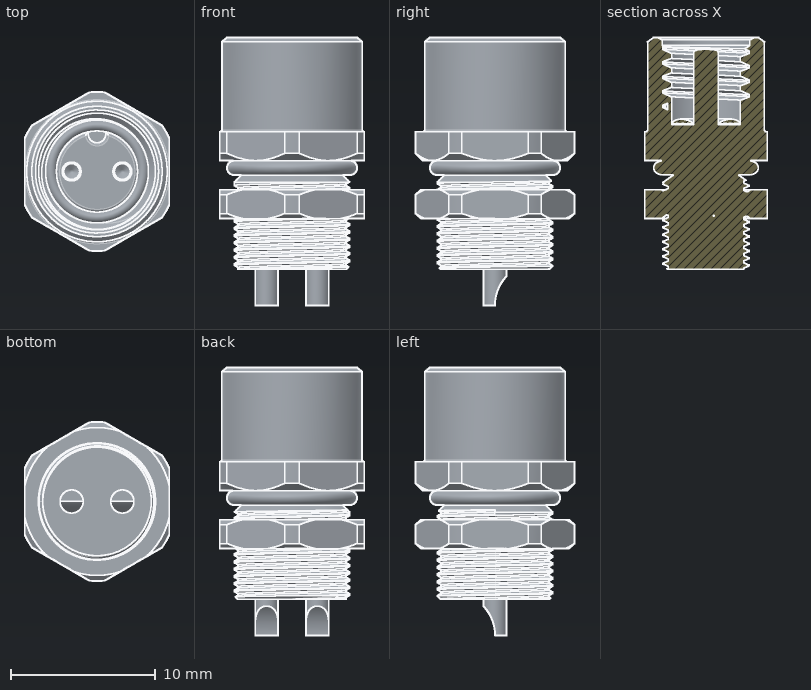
import cadquery as cq
import math


BODY_TOP = 16.0
PIN_LENGTH = 2.5

CUP_RADIUS = 4.85
RIM_CHAMFER_WIDTH = 0.35
RIM_CHAMFER_HEIGHT = 0.3
CUP_FOOT_FILLET = 0.13

HEX_ACROSS_FLATS = 10.0
HEX_CORNER_RADIUS = 5.5
HEX_THICKNESS = 2.0
FLANGE_BOTTOM = 7.5
FLANGE_TOP = FLANGE_BOTTOM + HEX_THICKNESS
FLANGE_CHAMFER_WIDTH = 0.5
FLANGE_CHAMFER_HEIGHT = 0.5
NUT_BOTTOM = 3.5
NUT_CHAMFER_WIDTH = 0.4
NUT_CHAMFER_HEIGHT = 0.35
NUT_MOUTH_RADIUS = 4.05
NUT_BORE_RADIUS = 3.7

SEAL_SECTION_RADIUS = 0.5
NECK_RADIUS = 3.5
SEAL_BOTTOM = FLANGE_BOTTOM - 2 * SEAL_SECTION_RADIUS
SEAL_CENTRE_RADIUS = NECK_RADIUS + SEAL_SECTION_RADIUS

THREAD_RADIUS = 4.0
THREAD_FLANK_ANGLE = 30.0

OUTER_PITCH = 0.5
OUTER_ROOT_RADIUS = 3.74
OUTER_GROOVE_ROOT_WIDTH = OUTER_PITCH / 4
OUTER_GROOVE_END_Z = 6.08
OUTER_GROOVE_END_ANGLE = 180.0
OUTER_TURNS = 13
OUTER_OVERSHOOT = 0.04
FOOT_CHAMFER = 0.25
SHOULDER_CHAMFER = THREAD_RADIUS - NECK_RADIUS

INNER_PITCH = 1.0
BORE_RADIUS = 3.55
INNER_GROOVE_ROOT_WIDTH = INNER_PITCH / 8
INNER_GROOVE_END_Z = 16.235
INNER_GROOVE_END_ANGLE = 225.0
INNER_TURNS = 5
INNER_OVERSHOOT = 0.075

MOUTH_RADIUS = 4.25
COUNTERBORE_RADIUS = 4.03
LEAD_IN_HEIGHT = 0.17
COUNTERBORE_DEPTH = 0.55
COUNTERSINK_DEPTH = 0.95

BORE_FLOOR = 10.0
INSERT_TOP = 15.2
INSERT_RADIUS = 2.8
INSERT_EDGE_RADIUS = 0.2
INNER_SEAL_RADIUS = (BORE_RADIUS - INSERT_RADIUS) / 2

KEY_RADIUS = 0.6
KEY_CENTRE_Y = 2.58

CONTACT_SPACING = 3.5
SOCKET_RADIUS = 0.55
SOCKET_DEPTH = 3.0
SOCKET_CHAMFER = 0.1
SOCKET_POINT_ANGLE = 118.0
PIN_RADIUS = 0.8
PIN_ROUND_LENGTH = 0.47

CONTACT_XS = (-CONTACT_SPACING / 2, CONTACT_SPACING / 2)


def revolved(outline):
    """Turn a closed XZ outline (X = radius) about the Z axis."""
    return outline.close().revolve(360, (0, 0, 0), (0, 1, 0))


def turned_body():
    """Body without hexagons or threads, solid inside, with the O-ring merged into its groove."""
    seal_middle = (FLANGE_BOTTOM + SEAL_BOTTOM) / 2
    fillet_centre = (CUP_RADIUS + CUP_FOOT_FILLET, FLANGE_TOP + CUP_FOOT_FILLET)
    fillet_reach = CUP_FOOT_FILLET * math.sqrt(0.5)
    outline = (
        cq.Workplane("XZ")
        .moveTo(0, 0)
        .lineTo(THREAD_RADIUS - FOOT_CHAMFER, 0)
        .lineTo(THREAD_RADIUS, FOOT_CHAMFER)
        .lineTo(THREAD_RADIUS, SEAL_BOTTOM - SHOULDER_CHAMFER)
        .lineTo(NECK_RADIUS, SEAL_BOTTOM)
        .lineTo(SEAL_CENTRE_RADIUS, SEAL_BOTTOM)
        .threePointArc(
            (SEAL_CENTRE_RADIUS + SEAL_SECTION_RADIUS, seal_middle),
            (SEAL_CENTRE_RADIUS, FLANGE_BOTTOM),
        )
        .lineTo(SEAL_CENTRE_RADIUS, FLANGE_TOP)
        .lineTo(fillet_centre[0], FLANGE_TOP)
        .threePointArc(
            (fillet_centre[0] - fillet_reach, fillet_centre[1] - fillet_reach),
            (CUP_RADIUS, fillet_centre[1]),
        )
        .lineTo(CUP_RADIUS, BODY_TOP - RIM_CHAMFER_HEIGHT)
        .lineTo(CUP_RADIUS - RIM_CHAMFER_WIDTH, BODY_TOP)
        .lineTo(0, BODY_TOP)
    )
    return revolved(outline)


def hexagon(bottom, chamfer_width, chamfer_height, chamfer_top):
    """Hexagonal collar with flats facing +X and -X and turned corners."""
    top = bottom + HEX_THICKNESS
    across_corners = HEX_ACROSS_FLATS / math.cos(math.radians(30))
    prism = (
        cq.Workplane("XY", origin=(0, 0, bottom))
        .polygon(6, across_corners)
        .extrude(HEX_THICKNESS)
        .rotate((0, 0, 0), (0, 0, 1), 30)
    )
    envelope = (
        cq.Workplane("XZ")
        .moveTo(0, bottom)
        .lineTo(HEX_CORNER_RADIUS - chamfer_width, bottom)
        .lineTo(HEX_CORNER_RADIUS, bottom + chamfer_height)
    )
    if chamfer_top:
        envelope = envelope.lineTo(HEX_CORNER_RADIUS, top - chamfer_height)
        envelope = envelope.lineTo(HEX_CORNER_RADIUS - chamfer_width, top)
    else:
        envelope = envelope.lineTo(HEX_CORNER_RADIUS, top)
    return prism.intersect(revolved(envelope.lineTo(0, top)))


def thread_turn(root_radius, open_radius, root_width, pitch, end_z, end_angle):
    """One right-hand turn of thread groove, narrow at root_radius, ending at end_z and end_angle."""
    depth = abs(open_radius - root_radius)
    root_half = root_width / 2
    open_half = root_half + depth * math.tan(math.radians(THREAD_FLANK_ANGLE))
    helix = cq.Workplane(obj=cq.Wire.makeHelix(pitch, pitch, root_radius))
    groove = (
        cq.Workplane("XZ")
        .polyline([
            (root_radius, -root_half),
            (open_radius, -open_half),
            (open_radius, open_half),
            (root_radius, root_half),
        ])
        .close()
        .sweep(helix, isFrenet=True)
    )
    groove = groove.rotate((0, 0, 0), (0, 0, 1), end_angle)
    return groove.translate((0, 0, end_z - pitch))


def cut_outer_thread(body):
    """Cut the external thread turn by turn, from its upper end out through the foot of the body."""
    for turn in range(OUTER_TURNS):
        groove = thread_turn(
            OUTER_ROOT_RADIUS, THREAD_RADIUS + OUTER_OVERSHOOT, OUTER_GROOVE_ROOT_WIDTH,
            OUTER_PITCH, OUTER_GROOVE_END_Z - turn * OUTER_PITCH, OUTER_GROOVE_END_ANGLE,
        )
        body = body.cut(groove)
    return body


def cut_inner_thread(body):
    """Cut the internal thread turn by turn, from the mouth down to a plain stretch above the floor."""
    for turn in range(INNER_TURNS):
        groove = thread_turn(
            THREAD_RADIUS, BORE_RADIUS - INNER_OVERSHOOT, INNER_GROOVE_ROOT_WIDTH,
            INNER_PITCH, INNER_GROOVE_END_Z - turn * INNER_PITCH, INNER_GROOVE_END_ANGLE,
        )
        body = body.cut(groove)
    return body


def bore():
    """Space around the insert; its floor is the rounded top of the inner sealing ring."""
    ring_middle = (INSERT_RADIUS + BORE_RADIUS) / 2
    edge_reach = INSERT_EDGE_RADIUS * math.sqrt(0.5)
    edge_centre = (INSERT_RADIUS - INSERT_EDGE_RADIUS, INSERT_TOP - INSERT_EDGE_RADIUS)
    outline = (
        cq.Workplane("XZ")
        .moveTo(0, INSERT_TOP)
        .lineTo(edge_centre[0], INSERT_TOP)
        .threePointArc(
            (edge_centre[0] + edge_reach, edge_centre[1] + edge_reach),
            (INSERT_RADIUS, edge_centre[1]),
        )
        .lineTo(INSERT_RADIUS, BORE_FLOOR)
        .threePointArc((ring_middle, BORE_FLOOR + INNER_SEAL_RADIUS), (BORE_RADIUS, BORE_FLOOR))
        .lineTo(BORE_RADIUS, BODY_TOP - COUNTERSINK_DEPTH)
        .lineTo(COUNTERBORE_RADIUS, BODY_TOP - COUNTERBORE_DEPTH)
        .lineTo(COUNTERBORE_RADIUS, BODY_TOP - LEAD_IN_HEIGHT)
        .lineTo(MOUTH_RADIUS, BODY_TOP)
        .lineTo(0, BODY_TOP)
    )
    return revolved(outline)


def key_notch():
    """Round-bottomed keyway down the insert, with a rounded upper edge, kept inside the insert."""
    height = INSERT_TOP - BORE_FLOOR
    mouth_radius = KEY_RADIUS + INSERT_EDGE_RADIUS
    edge_reach = INSERT_EDGE_RADIUS * (1 - math.sqrt(0.5))
    cutter = revolved(
        cq.Workplane("XZ")
        .moveTo(0, BORE_FLOOR)
        .lineTo(KEY_RADIUS, BORE_FLOOR)
        .lineTo(KEY_RADIUS, INSERT_TOP - INSERT_EDGE_RADIUS)
        .threePointArc((KEY_RADIUS + edge_reach, INSERT_TOP - edge_reach), (mouth_radius, INSERT_TOP))
        .lineTo(0, INSERT_TOP)
    )
    insert_envelope = cq.Workplane("XY", origin=(0, 0, BORE_FLOOR)).circle(INSERT_RADIUS).extrude(height)
    return cutter.translate((0, KEY_CENTRE_Y, 0)).intersect(insert_envelope)


def socket(x):
    """Blind contact hole with a chamfered mouth and a drill-point end."""
    bottom = INSERT_TOP - SOCKET_DEPTH
    point_depth = SOCKET_RADIUS / math.tan(math.radians(SOCKET_POINT_ANGLE / 2))
    hole = revolved(
        cq.Workplane("XZ")
        .moveTo(0, bottom - point_depth)
        .lineTo(SOCKET_RADIUS, bottom)
        .lineTo(SOCKET_RADIUS, INSERT_TOP - SOCKET_CHAMFER)
        .lineTo(SOCKET_RADIUS + SOCKET_CHAMFER, INSERT_TOP)
        .lineTo(0, INSERT_TOP)
    )
    return hole.translate((x, 0, 0))


def solder_pin(x):
    """Round pin whose +Y half is scooped away by an arc ending on the pin axis."""
    scoop_height = PIN_LENGTH - PIN_ROUND_LENGTH
    scoop_radius = (PIN_RADIUS**2 + scoop_height**2) / (2 * PIN_RADIUS)
    pin = cq.Workplane("XY", origin=(x, 0, 0)).circle(PIN_RADIUS).extrude(-PIN_LENGTH)
    scoop = (
        cq.Workplane("YZ", origin=(x, scoop_radius, -PIN_LENGTH))
        .circle(scoop_radius)
        .extrude(PIN_RADIUS * 2, both=True)
    )
    return pin.cut(scoop)


def lock_nut():
    """Nut with a 45 degree countersink around the thread on both faces."""
    countersink_depth = NUT_MOUTH_RADIUS - NUT_BORE_RADIUS
    nut = hexagon(NUT_BOTTOM, NUT_CHAMFER_WIDTH, NUT_CHAMFER_HEIGHT, True)
    top = NUT_BOTTOM + HEX_THICKNESS
    for face, inward in ((NUT_BOTTOM, 1), (top, -1)):
        countersink = revolved(
            cq.Workplane("XZ")
            .moveTo(0, face)
            .lineTo(NUT_MOUTH_RADIUS, face)
            .lineTo(NUT_BORE_RADIUS, face + inward * countersink_depth)
            .lineTo(0, face + inward * countersink_depth)
        )
        nut = nut.cut(countersink)
    return nut


flange = hexagon(FLANGE_BOTTOM, FLANGE_CHAMFER_WIDTH, FLANGE_CHAMFER_HEIGHT, False)

result = cut_outer_thread(turned_body())
result = result.union(flange).union(lock_nut())
result = cut_inner_thread(result.cut(bore())).cut(key_notch())
for contact_x in CONTACT_XS:
    result = result.cut(socket(contact_x)).union(solder_pin(contact_x))